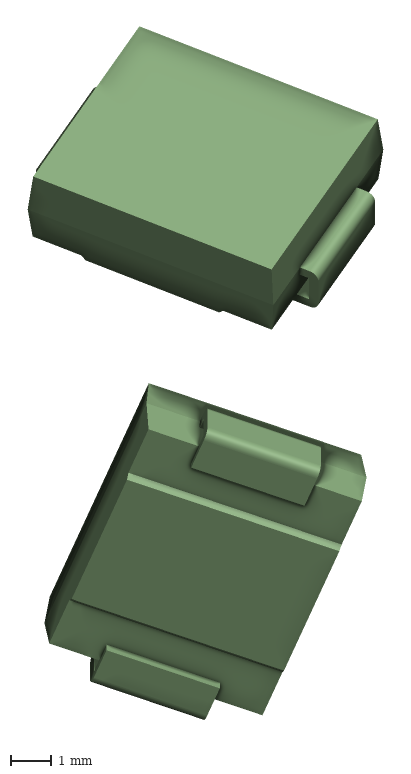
import cadquery as cq

overall_length = 7.95
overall_height = 2.5

body_length = 6.92
body_width = 5.9
parting_height = 1.32
draft_angle = 5.0

lead_thickness = 0.27
lead_width = 3.04
lead_bend_radius = 0.25
foot_length = 1.105

pad_length = 4.01
pad_depth = 0.135
pad_end_slope = 0.13

body_bottom = lead_thickness
pad_bottom = body_bottom - pad_depth
upper_height = overall_height - parting_height


def body_half(height):
    """Taper away from the parting plane; a negative height goes downward."""
    return (
        cq.Workplane("XY")
        .workplane(offset=parting_height)
        .rect(body_length, body_width)
        .extrude(height, taper=draft_angle)
    )


def pad_clearance():
    """Space beside the pad at the -X end, closed by a sloping wall along the pad edge."""
    pad_top_x = -pad_length / 2
    return (
        cq.Workplane("XZ")
        .moveTo(-body_length / 2, body_bottom)
        .lineTo(pad_top_x, body_bottom)
        .lineTo(pad_top_x + pad_end_slope, pad_bottom)
        .lineTo(-body_length / 2, pad_bottom)
        .close()
        .extrude(body_width / 2, both=True)
    )


def lower_body():
    """Lower half drafted down to the pad, then relieved at both ends so the pad stands proud."""
    left_clearance = pad_clearance()
    return (
        body_half(pad_bottom - parting_height)
        .cut(left_clearance)
        .cut(left_clearance.mirror("YZ"))
    )


def lead():
    """C-shaped lead at the -X end, with rounded outer bends and square inner corners."""
    outer_x = -overall_length / 2
    inner_x = outer_x + lead_thickness
    foot_x = outer_x + foot_length
    bar = (
        cq.Workplane("XZ")
        .moveTo(foot_x, 0)
        .lineTo(outer_x, 0)
        .lineTo(outer_x, parting_height)
        .lineTo(foot_x, parting_height)
        .lineTo(foot_x, parting_height - lead_thickness)
        .lineTo(inner_x, parting_height - lead_thickness)
        .lineTo(inner_x, lead_thickness)
        .lineTo(foot_x, lead_thickness)
        .close()
        .extrude(lead_width / 2, both=True)
    )
    return bar.edges("|Y and <X").fillet(lead_bend_radius)


left_lead = lead()
result = (
    body_half(upper_height)
    .union(lower_body())
    .union(left_lead)
    .union(left_lead.mirror("YZ"))
)